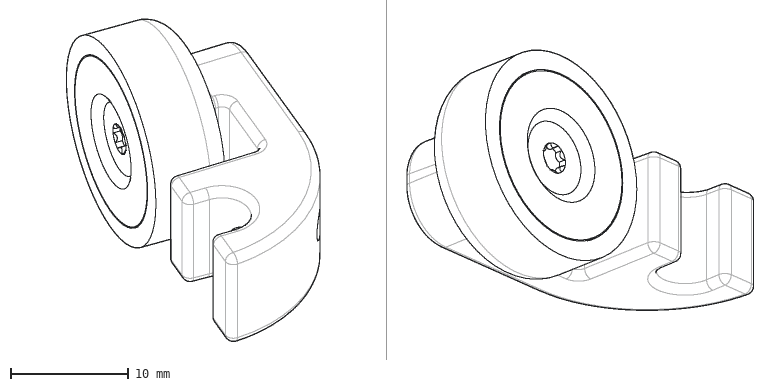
import cadquery as cq
import math


overall_length = 33.85

cup_diameter = 18.8
cup_height = 7.15
cup_rim_round = 2.0
magnet_radius = 7.55
magnet_gap = 0.1
magnet_gap_depth = 1.0

countersink_radius = 4.2
screw_head_radius = 3.3
countersink_depth = 0.78
socket_radius = 1.35
socket_rib_radius = 0.5
socket_rib_offset = 1.55
socket_ribs = 6
socket_depth = 0.68
socket_bevel_depth = 0.2

arm_back_y = 13.35
arm_width = 9.92
arm_left_x = -5.52
arm_end_round = 4.5
draft_angle = 1.0
edge_round = 0.75

notch_left_x = 4.23
notch_right_x = 11.5
notch_floor_y = 8.87
notch_corner_round = 0.75

hook_tip_y = 0.1
back_arc_radius = 13.48
slot_x = 17.95
slot_y = 2.3
slot_radius = 2.55
pin_hole_x = 17.45
pin_hole_radius = 1.45

back_arc_y = arm_back_y - back_arc_radius
tip_round_x = overall_length - cup_diameter / 2 - edge_round
tip_round_rise = hook_tip_y + edge_round - back_arc_y
back_arc_start_x = tip_round_x - math.sqrt((back_arc_radius - edge_round) ** 2 - tip_round_rise**2)


def make_cup():
    """Round cup with a rolled shoulder, the magnet gap and the screw recess."""
    cup = cq.Workplane("XZ").circle(cup_diameter / 2).extrude(-cup_height)
    cup = cup.faces(">Y").edges().fillet(cup_rim_round)

    gap = (
        cq.Workplane("XZ")
        .circle(magnet_radius + magnet_gap)
        .circle(magnet_radius)
        .extrude(-magnet_gap_depth)
    )
    countersink = (
        cq.Workplane("XZ")
        .circle(countersink_radius)
        .workplane(offset=-countersink_depth)
        .circle(screw_head_radius)
        .loft()
    )
    return cup.cut(gap).cut(countersink).cut(make_socket())


def make_socket():
    """Six-lobed driver socket in the screw head, with a conical bevel at its mouth."""
    head = cq.Workplane("XZ", origin=(0, countersink_depth, 0))
    socket = head.circle(socket_radius).extrude(-socket_depth)
    ribs = (
        head.polarArray(socket_rib_offset, 90, 360, socket_ribs)
        .circle(socket_rib_radius)
        .extrude(-socket_depth)
    )
    bevel = (
        head.circle(socket_radius)
        .workplane(offset=-socket_bevel_depth)
        .circle(socket_rib_offset - socket_rib_radius)
        .loft()
    )
    return socket.cut(ribs).union(bevel)


def make_arm_envelope():
    """Drafted bar with a rounded left end, narrowing away from the back."""
    length = back_arc_start_x + 2 * back_arc_radius - arm_left_x
    bar = (
        cq.Workplane("XZ", origin=(arm_left_x + length / 2, arm_back_y, 0))
        .rect(length, arm_width)
        .extrude(arm_back_y - hook_tip_y, taper=draft_angle)
    )
    left_corners = bar.faces("<X").edges("not #Y").edges("not |Z")
    return left_corners.fillet(arm_end_round)


def make_arm_profile():
    """Side outline of boss, notch and hook, wider than the bar it trims."""
    draft = math.tan(math.radians(draft_angle))
    hook_left_x = notch_right_x + (notch_floor_y - hook_tip_y) * draft
    boss_right_x = notch_left_x - (notch_floor_y - cup_height) * draft
    outside_x = 2 * arm_left_x

    tip_angle = math.asin((hook_tip_y - back_arc_y) / back_arc_radius)
    middle_angle = (math.pi / 2 + tip_angle) / 2

    def on_back_arc(angle):
        return (
            back_arc_start_x + back_arc_radius * math.cos(angle),
            back_arc_y + back_arc_radius * math.sin(angle),
        )

    profile = (
        cq.Workplane("XY", origin=(0, 0, -arm_width))
        .moveTo(outside_x, arm_back_y)
        .lineTo(back_arc_start_x, arm_back_y)
        .threePointArc(on_back_arc(middle_angle), on_back_arc(tip_angle))
        .lineTo(slot_x + slot_radius, hook_tip_y)
        .lineTo(slot_x + slot_radius, slot_y)
        .threePointArc((slot_x, slot_y + slot_radius), (slot_x - slot_radius, slot_y))
        .lineTo(slot_x - slot_radius, hook_tip_y)
        .lineTo(hook_left_x, hook_tip_y)
        .lineTo(notch_right_x, notch_floor_y)
        .lineTo(notch_left_x, notch_floor_y)
        .lineTo(boss_right_x, cup_height)
        .lineTo(outside_x, cup_height)
        .close()
        .extrude(2 * arm_width)
    )
    notch_corners = cq.selectors.BoxSelector(
        (notch_left_x - edge_round, notch_floor_y - edge_round, -arm_width),
        (notch_right_x + edge_round, notch_floor_y + edge_round, arm_width),
    )
    return profile.edges("|Z").edges(notch_corners).fillet(notch_corner_round)


def make_arm():
    """Arm with every outer edge rounded and the pin hole through the hook."""
    arm = make_arm_envelope().intersect(make_arm_profile())
    arm = arm.edges().fillet(edge_round)
    pin_hole = (
        cq.Workplane("XZ", origin=(pin_hole_x, 0, 0))
        .circle(pin_hole_radius)
        .extrude(-arm_back_y)
    )
    return arm.cut(pin_hole)


result = make_cup().union(make_arm())